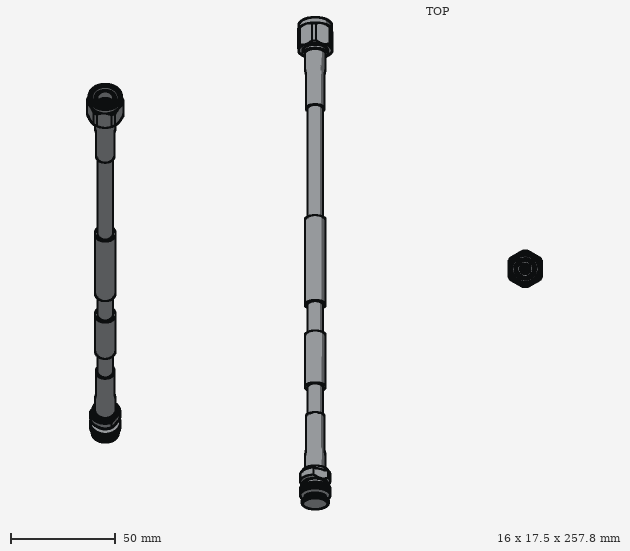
import cadquery as cq
import math


TOTAL_LENGTH = 257.75
CABLE_DIAMETER = 7.5

BOOT_DIAMETER = 9.0
BOOT_LENGTH = 18.5
BARREL_DIAMETER = 9.9
CONE_LENGTH = 2.5
BARREL_LENGTH = 8.5
COLLAR_DIAMETER = 12.2
COLLAR_LENGTH = 1.6
REAR_LENGTH = BOOT_LENGTH + CONE_LENGTH + BARREL_LENGTH + COLLAR_LENGTH

NUT_LENGTH = 14.2
NUT_ACROSS_FLATS = 16.0
NUT_CORNER_DIAMETER = 17.49
NUT_CORNER_CHAMFER = 1.0
NUT_BAND_LENGTH = 3.2
NUT_EDGE_CHAMFER = 0.5

SOCKET_MOUTH_DIAMETER = 14.0
SOCKET_DIAMETER = 12.7
SOCKET_DEPTH = 9.0
FERRULE_DIAMETER = 10.2
FERRULE_CHAMFER = 0.6
FERRULE_BORE_DIAMETER = 7.6
FERRULE_SETBACK = 1.0
PIN_DIAMETER = 3.0
PIN_SETBACK = 3.0
PIN_TIP_CHAMFER = 0.8
INSULATOR_BORE_DIAMETER = 5.0
INSULATOR_SETBACK = 6.0

FLAT_RING_DIAMETER = 14.4
FLAT_RING_ACROSS_FLATS = 12.2
FLAT_RING_LENGTH = 5.0
FLAT_RING_LOWER_CHAMFER = 1.2
NECK_DIAMETER = 10.5
UPPER_NECK_LENGTH = 1.7
GRIP_DIAMETER = 14.5
GRIP_LENGTH = 5.8
GRIP_TOP_CONE_LENGTH = 1.0
GRIP_LOWER_CONE_LENGTH = 1.2
GRIP_GROOVE_COUNT = 2
GRIP_GROOVE_WIDTH = 0.8
GRIP_GROOVE_DEPTH = 0.4
LIP_DIAMETER = 13.0
LIP_CHAMFER = 0.6
LIP_LENGTH = 1.9
LOWER_NECK_LENGTH = 1.5
PLUG_LENGTH = FLAT_RING_LENGTH + UPPER_NECK_LENGTH + GRIP_LENGTH + LOWER_NECK_LENGTH + LIP_LENGTH

SLEEVE_DIAMETER = 9.9
SLEEVES = [(62.8, 27.8), (107.0, 45.6)]

CABLE_BOTTOM = PLUG_LENGTH + REAR_LENGTH - BOOT_LENGTH
CABLE_TOP = TOTAL_LENGTH - NUT_LENGTH - REAR_LENGTH + BOOT_LENGTH


def cylinder(diameter, bottom, length):
    return cq.Workplane("XY").workplane(offset=bottom).circle(diameter / 2).extrude(length)


def turned(profile):
    """Solid of revolution about Z from (radius, height) points."""
    return cq.Workplane("XZ").polyline(profile).close().revolve(360, (0, 0), (0, 1))


def connector_rear():
    """Boot, cone, barrel and collar; the collar front is at Z = 0 and the boot points up."""
    barrel_start = COLLAR_LENGTH
    cone_start = barrel_start + BARREL_LENGTH
    boot_start = cone_start + CONE_LENGTH
    rear = turned([
        (0, 0),
        (COLLAR_DIAMETER / 2, 0),
        (COLLAR_DIAMETER / 2, barrel_start),
        (BARREL_DIAMETER / 2, barrel_start),
        (BARREL_DIAMETER / 2, cone_start),
        (BOOT_DIAMETER / 2, boot_start),
        (BOOT_DIAMETER / 2, REAR_LENGTH),
        (0, REAR_LENGTH),
    ])
    return rear.cut(cylinder(CABLE_DIAMETER, boot_start, BOOT_LENGTH))


def coupling_nut():
    """Hexagonal nut with a round band at its open top end; the bottom face is at Z = 0."""
    hex_length = NUT_LENGTH - NUT_BAND_LENGTH
    corner_radius = NUT_CORNER_DIAMETER / 2
    chamfered_radius = NUT_ACROSS_FLATS / 2
    hexagon = (
        cq.Workplane("XY")
        .polygon(6, NUT_ACROSS_FLATS / math.cos(math.pi / 6))
        .extrude(hex_length)
        .rotate((0, 0, 0), (0, 0, 1), 30)
    )
    corner_envelope = cylinder(NUT_CORNER_DIAMETER, 0, hex_length).edges().chamfer(
        NUT_CORNER_CHAMFER, corner_radius - chamfered_radius
    )
    band = cylinder(NUT_ACROSS_FLATS, 0, NUT_LENGTH).faces(">Z").edges().chamfer(NUT_EDGE_CHAMFER)
    return hexagon.intersect(corner_envelope).union(band)


def nut_socket():
    """Empty space of the mating socket, measured from the nut's bottom face."""
    floor = NUT_LENGTH - SOCKET_DEPTH
    mouth_step = (SOCKET_MOUTH_DIAMETER - SOCKET_DIAMETER) / 2
    ferrule_top = NUT_LENGTH - FERRULE_SETBACK
    space = turned([
        (0, floor),
        (SOCKET_DIAMETER / 2, floor),
        (SOCKET_DIAMETER / 2, NUT_LENGTH - mouth_step),
        (SOCKET_MOUTH_DIAMETER / 2, NUT_LENGTH),
        (0, NUT_LENGTH),
    ])
    ferrule = (
        cylinder(FERRULE_DIAMETER, floor, ferrule_top - floor)
        .faces(">Z").edges().chamfer(FERRULE_CHAMFER)
        .cut(cylinder(FERRULE_BORE_DIAMETER, floor, ferrule_top - floor))
    )
    insulator_length = SOCKET_DEPTH - INSULATOR_SETBACK
    insulator = cylinder(FERRULE_BORE_DIAMETER, floor, insulator_length).cut(
        cylinder(INSULATOR_BORE_DIAMETER, floor, insulator_length)
    )
    pin = (
        cylinder(PIN_DIAMETER, floor, SOCKET_DEPTH - PIN_SETBACK)
        .faces(">Z").edges().chamfer(PIN_TIP_CHAMFER)
    )
    return space.cut(ferrule).cut(insulator).cut(pin)


def build_top_connector():
    nut_bottom = TOTAL_LENGTH - NUT_LENGTH
    nut = coupling_nut().cut(nut_socket()).translate((0, 0, nut_bottom))
    rear = connector_rear().rotate((0, 0, 0), (1, 0, 0), 180).translate((0, 0, nut_bottom))
    return nut.union(rear)


def flat_ring():
    """Ring chamfered along its lower edge, with two wrench flats facing -X and +X; bottom face at Z = 0."""
    ring = (
        cylinder(FLAT_RING_DIAMETER, 0, FLAT_RING_LENGTH)
        .faces("<Z").edges().chamfer(FLAT_RING_LOWER_CHAMFER)
    )
    flats = cq.Workplane("XY").rect(FLAT_RING_ACROSS_FLATS, FLAT_RING_DIAMETER).extrude(FLAT_RING_LENGTH)
    return ring.intersect(flats)


def grip_ring():
    """Double-coned ring with V grooves spaced evenly along its rim; bottom face at Z = 0."""
    neck_radius = NECK_DIAMETER / 2
    rim_radius = GRIP_DIAMETER / 2
    rim_start = GRIP_LOWER_CONE_LENGTH
    rim_end = GRIP_LENGTH - GRIP_TOP_CONE_LENGTH
    pitch = (rim_end - rim_start) / (GRIP_GROOVE_COUNT + 1)
    profile = [(0, 0), (neck_radius, 0), (rim_radius, rim_start)]
    for groove in range(1, GRIP_GROOVE_COUNT + 1):
        groove_height = rim_start + groove * pitch
        profile.append((rim_radius, groove_height - GRIP_GROOVE_WIDTH / 2))
        profile.append((rim_radius - GRIP_GROOVE_DEPTH, groove_height))
        profile.append((rim_radius, groove_height + GRIP_GROOVE_WIDTH / 2))
    profile += [(rim_radius, rim_end), (neck_radius, GRIP_LENGTH), (0, GRIP_LENGTH)]
    return turned(profile)


def build_bottom_connector():
    lip = cylinder(LIP_DIAMETER, 0, LIP_LENGTH).edges().chamfer(LIP_CHAMFER)
    neck = cylinder(NECK_DIAMETER, 0, PLUG_LENGTH)
    grip_bottom = LIP_LENGTH + LOWER_NECK_LENGTH
    flat_ring_bottom = grip_bottom + GRIP_LENGTH + UPPER_NECK_LENGTH
    return (
        neck.union(lip)
        .union(grip_ring().translate((0, 0, grip_bottom)))
        .union(flat_ring().translate((0, 0, flat_ring_bottom)))
        .union(connector_rear().translate((0, 0, PLUG_LENGTH)))
    )


def build_cable():
    return cylinder(CABLE_DIAMETER, CABLE_BOTTOM, CABLE_TOP - CABLE_BOTTOM)


def build_sleeve(bottom, length):
    return cylinder(SLEEVE_DIAMETER, bottom, length).cut(cylinder(CABLE_DIAMETER, bottom, length))


top_connector = build_top_connector()
bottom_connector = build_bottom_connector()
cable = build_cable()
sleeves = [build_sleeve(bottom, length) for bottom, length in SLEEVES]

result = cq.Compound.makeCompound([
    top_connector.val(),
    bottom_connector.val(),
    cable.val(),
    *[sleeve.val() for sleeve in sleeves],
])